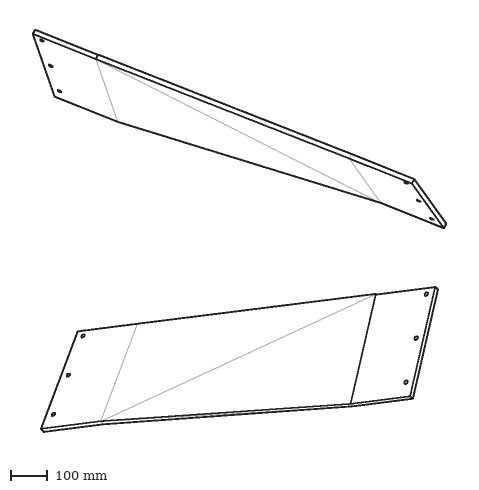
import cadquery as cq
import math

length = 1200.0
panel_width = 200.0
panel_height = 340.0
thickness = 15.0
hole_diameter = 11.0
hole_inset = 25.0
hole_from_top = 19.0
hole_pitch = 137.0
hole_count = 3

left_tilt = 20.0
right_tilt = 30.0
right_setback = 7.0


def panel_plane(left_edge, setback, tilt):
    """Plane on a panel's front face: local Y runs down the slope, local Z points to the back."""
    angle = math.radians(tilt)
    back = cq.Vector(0, math.cos(angle), math.sin(angle))
    return cq.Plane(origin=(left_edge, setback, 0), xDir=(1, 0, 0), normal=back)


def end_panel(plane, hole_x):
    """Flat end panel with a column of through holes; hole_x is measured from the left edge."""
    panel = cq.Workplane(plane).box(panel_width, panel_height, thickness, centered=(False, False, False))
    centers = [(hole_x, hole_from_top + i * hole_pitch) for i in range(hole_count)]
    holes = cq.Workplane(plane).pushPoints(centers).circle(hole_diameter / 2).extrude(thickness)
    return panel.cut(holes)


def corners(plane, along):
    """Section corners: top front, top back, bottom back, bottom front."""
    profile = [(0, 0), (0, thickness), (panel_height, thickness), (panel_height, 0)]
    return [plane.toWorldCoords((along, down, back)) for down, back in profile]


def triangle(a, b, c):
    return cq.Face.makeFromWires(cq.Wire.makePolygon([a, b, c], close=True))


def middle_panel(left, right):
    """Twisted panel with each side folded along a diagonal.

    Corner names: left or right section, top or bottom, front or back.
    """
    ltf, ltb, lbb, lbf = left
    rtf, rtb, rbb, rbf = right
    faces = [
        triangle(ltf, rtf, rbf), triangle(ltf, rbf, lbf),
        triangle(ltb, rtb, rbb), triangle(ltb, rbb, lbb),
        triangle(ltf, rtf, rtb), triangle(ltf, rtb, ltb),
        triangle(lbf, rbf, rbb), triangle(lbf, rbb, lbb),
        triangle(ltf, ltb, lbb), triangle(ltf, lbb, lbf),
        triangle(rtf, rtb, rbb), triangle(rtf, rbb, rbf),
    ]
    return cq.Workplane(cq.Solid.makeSolid(cq.Shell.makeShell(faces)))


left_plane = panel_plane(0, 0, left_tilt)
right_plane = panel_plane(length - panel_width, right_setback, right_tilt)

left_panel = end_panel(left_plane, hole_inset)
right_panel = end_panel(right_plane, panel_width - hole_inset)
left_corners = corners(left_plane, panel_width)
right_corners = corners(right_plane, 0)
left_corners[1] = left_corners[0] + right_plane.zDir * thickness
middle = middle_panel(left_corners, right_corners)

result = left_panel.union(middle).union(right_panel).clean()